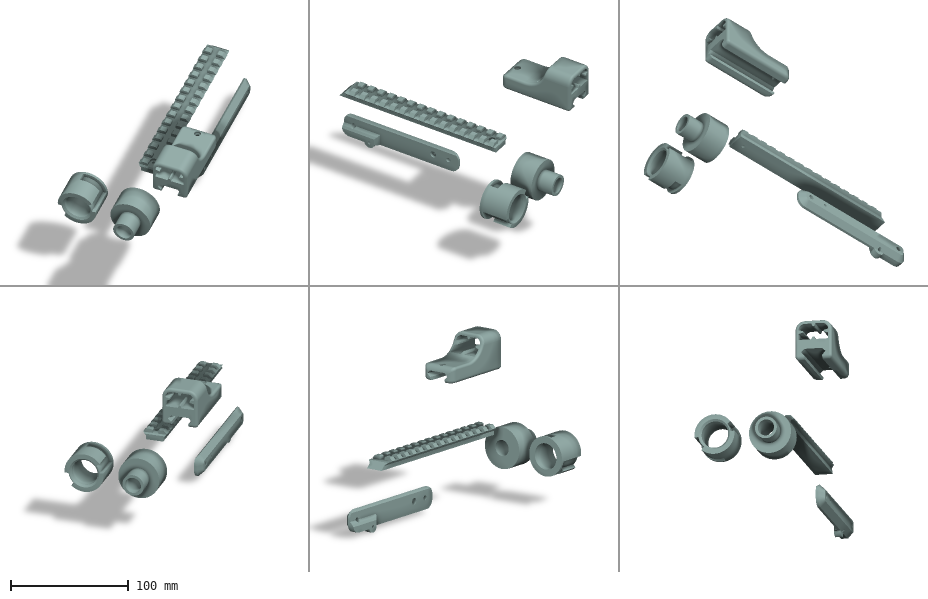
import cadquery as cq
import math

HOUSING_X = 44.6
HOUSING_FRONT_Y = -109.2
HOUSING_BOTTOM_Z = 34.2
HOUSING_WIDTH = 31.7
HOUSING_LENGTH = 70.0
HOUSING_HEIGHT = 34.0
ARCH_RADIUS = 8.2
DECK_HEIGHT = 14.0
DECK_LENGTH = 24.5
RAMP_RADIUS = HOUSING_HEIGHT - DECK_HEIGHT
RAMP_TOP_Y = HOUSING_LENGTH - DECK_LENGTH - RAMP_RADIUS
TAIL_RADIUS = 6.3
EDGE_FILLET = 2.3
BOTTOM_FILLET = 3.0

WINDOW_WIDTH = 25.8
WINDOW_HEIGHT = 13.8
WINDOW_FLOOR = 17.2
WINDOW_CORNER = 5.5
POST_BASE = 3.5
POST_TIP = 1.4
SHORT_POST = 2.3
LONG_POST = 3.9
MOUNT_ROOF = 9.0

RAIL_X = 4.3
RAIL_FRONT_Y = -55.7
RAIL_LENGTH = 157.6
RAIL_BOTTOM_Z = -8.0
RAIL_HALF_WIDTH = 10.6
NECK_HALF_WIDTH = 7.7
FLANK = RAIL_HALF_WIDTH - NECK_HALF_WIDTH
NECK_HEIGHT = 3.6
RAIL_HEIGHT = NECK_HEIGHT + 2 * FLANK
SLOT_FLOOR = NECK_HEIGHT + FLANK - 0.5
FRONT_BEVEL = 1.1

TOOTH_COUNT = 15
TOOTH_PITCH = 9.99
TOOTH_LENGTH = 5.0
FIRST_TOOTH_OFFSET = 3.9
GROOVE_HALF_WIDTH = 2.5
GROOVE_BEVEL = 1.0

SCREW_HOLE = 2.7
SCREW_HEAD = 6.0
SCREW_HEAD_DEPTH = 2.3
SCREW_DEPTH = 18.1
RAIL_SCREW_OFFSET = 8.8
HOUSING_SCREW_OFFSET = 7.5

ARM_FACE_X = 21.5
ARM_RIM_X = 23.8
ARM_BACK_X = 28.5
ARM_FRONT_Y = -2.0
ARM_LENGTH = 115.3
ARM_TOP_Z = -44.6
ARM_HEIGHT = 19.7
ARM_CORNER = 7.7
ARM_BACK_BEVEL = ARM_BACK_X - ARM_RIM_X
ARM_TOP_BEVEL = ARM_RIM_X - ARM_FACE_X

PAD_HEIGHT = 10.2
PAD_LENGTH = 36.5
PAD_STEP = 2.0
PAD_LOWER_DEPTH = 2.3
PAD_UPPER_DEPTH = 1.4
PAD_FACE_X = ARM_FACE_X - PAD_LOWER_DEPTH - PAD_UPPER_DEPTH

ARM_HOLE = 4.3
ARM_HOLE_Z = -54.1
ARM_HOLES_Y = (103.3, 8.2)
ARM_SCREW_Y = 23.3
LUG_Y = 85.5
LUG_Z = -63.5
LUG_RADIUS = 5.0
LUG_HOLE = 3.0

AXIS_Z = -25.0

RING_X = -43.0
RING_BACK_Y = -75.9
RING_LENGTH = 27.0
RING_DIAMETER = 34.9
RING_BORE = 23.0
RING_MOUTH = 26.5
TRACK_FLOOR = 28.0
TRACK_RIM = 2.3
TRACK_WIDTH = 7.7
TRACK_START = 7.0
TRACK_END = 104.0
KEYWAY_ENDS = (37.0, 49.0)

CAP_X = 4.3
CAP_BACK_Y = -77.0
CAP_DIAMETER = 36.7
CAP_LENGTH = 21.0
STEM_DIAMETER = 19.0
STEM_LENGTH = 15.2
CAP_BORE = 14.0


def dovetail(neck_height, length):
    """Rail section along +Y, centred on X, resting on Z = 0."""
    widest = neck_height + FLANK
    top = widest + FLANK
    return (
        cq.Workplane("XZ")
        .moveTo(-NECK_HALF_WIDTH, 0)
        .lineTo(NECK_HALF_WIDTH, 0)
        .lineTo(NECK_HALF_WIDTH, neck_height)
        .lineTo(RAIL_HALF_WIDTH, widest)
        .lineTo(NECK_HALF_WIDTH, top)
        .lineTo(-NECK_HALF_WIDTH, top)
        .lineTo(-RAIL_HALF_WIDTH, widest)
        .lineTo(-NECK_HALF_WIDTH, neck_height)
        .close()
        .extrude(-length)
    )


def housing_shell():
    """Arched block, cut down to a low deck with a concave ramp; front face at Y = 0."""
    block = (
        cq.Workplane("XY")
        .box(HOUSING_WIDTH, HOUSING_LENGTH, HOUSING_HEIGHT, centered=(True, False, False))
        .edges("|Y and >Z")
        .fillet(ARCH_RADIUS)
        .edges("|Z and >Y")
        .fillet(TAIL_RADIUS)
    )
    ramp_start = HOUSING_LENGTH - DECK_LENGTH
    lean = RAMP_RADIUS * math.sqrt(0.5)
    beyond = 2 * HOUSING_LENGTH
    above_deck = (
        cq.Workplane("YZ", origin=(-HOUSING_WIDTH, 0, 0))
        .moveTo(RAMP_TOP_Y, HOUSING_HEIGHT)
        .threePointArc((ramp_start - lean, HOUSING_HEIGHT - lean), (ramp_start, DECK_HEIGHT))
        .lineTo(HOUSING_LENGTH - TAIL_RADIUS, DECK_HEIGHT)
        .radiusArc((HOUSING_LENGTH, DECK_HEIGHT - TAIL_RADIUS), TAIL_RADIUS)
        .lineTo(beyond, DECK_HEIGHT - TAIL_RADIUS)
        .lineTo(beyond, HOUSING_HEIGHT)
        .close()
        .extrude(2 * HOUSING_WIDTH)
    )
    return block.cut(above_deck)


def fillet_where(body, radius, chosen):
    """Fillet the edges whose centre point passes the test."""
    edges = [edge for edge in body.edges().vals() if chosen(edge.Center())]
    return body.newObject(edges).fillet(radius)


def round_housing(shell):
    """Fillet the deck, ramp and crest edges, then the front rim and the bottom rim."""
    side = HOUSING_WIDTH / 2 - EDGE_FILLET

    def on_deck_or_ramp(point):
        along_side = abs(point.x) > side and point.y > RAMP_TOP_Y and point.z > DECK_HEIGHT - 0.2
        on_crest = abs(point.y - RAMP_TOP_Y) < EDGE_FILLET and point.z > HOUSING_HEIGHT - EDGE_FILLET
        return along_side or on_crest

    shell = fillet_where(shell, EDGE_FILLET, on_deck_or_ramp)
    shell = fillet_where(shell, EDGE_FILLET, lambda point: point.y < 0.02 < point.z)
    return fillet_where(shell, BOTTOM_FILLET, lambda point: point.z < 0.02)


def sight_window():
    """Opening along the whole housing, with a tapered aiming post on each of its four sides."""
    middle = WINDOW_FLOOR + WINDOW_HEIGHT / 2
    opening = (
        cq.Workplane("XY", origin=(0, 0, WINDOW_FLOOR))
        .box(WINDOW_WIDTH, HOUSING_LENGTH, WINDOW_HEIGHT, centered=(True, False, False))
        .edges("|Y and >Z")
        .fillet(WINDOW_CORNER)
    )
    posts = (
        (0, WINDOW_HEIGHT / 2, SHORT_POST),
        (90, WINDOW_WIDTH / 2, LONG_POST),
        (180, WINDOW_HEIGHT / 2, SHORT_POST),
        (270, WINDOW_WIDTH / 2, LONG_POST),
    )
    for turn, reach, height in posts:
        post = (
            cq.Workplane("XZ")
            .moveTo(-POST_BASE / 2, -reach)
            .lineTo(POST_BASE / 2, -reach)
            .lineTo(POST_TIP / 2, height - reach)
            .lineTo(-POST_TIP / 2, height - reach)
            .close()
            .extrude(-HOUSING_LENGTH)
            .rotate((0, 0, 0), (0, 1, 0), turn)
            .translate((0, 0, middle))
        )
        opening = opening.cut(post)
    return opening


def screw_hole():
    """Cutter for a screw hole along Z with a flat-bottomed head seat, opening at Z = 0."""
    shank = cq.Workplane("XY").circle(SCREW_HOLE / 2).extrude(-SCREW_DEPTH)
    return shank.union(cq.Workplane("XY").circle(SCREW_HEAD / 2).extrude(-SCREW_HEAD_DEPTH))


def make_housing():
    body = round_housing(housing_shell())
    body = body.cut(sight_window())
    mount = dovetail(NECK_HEIGHT, HOUSING_LENGTH).translate((0, 0, MOUNT_ROOF - RAIL_HEIGHT))
    below = cq.Workplane("XY").box(
        2 * NECK_HALF_WIDTH, HOUSING_LENGTH, MOUNT_ROOF - FLANK, centered=(True, False, False)
    )
    body = body.cut(mount).cut(below)
    body = body.cut(screw_hole().translate((0, HOUSING_LENGTH - HOUSING_SCREW_OFFSET, DECK_HEIGHT)))
    return body.translate((HOUSING_X, HOUSING_FRONT_Y, HOUSING_BOTTOM_Z))


def tooth_row():
    """Pairs of teeth at an even pitch, standing above the slot floor."""
    half_groove = cq.Workplane("XZ")
    section = (
        half_groove.moveTo(GROOVE_HALF_WIDTH, SLOT_FLOOR)
        .lineTo(GROOVE_HALF_WIDTH, RAIL_HEIGHT - GROOVE_BEVEL)
        .lineTo(GROOVE_HALF_WIDTH + GROOVE_BEVEL, RAIL_HEIGHT)
        .lineTo(RAIL_HALF_WIDTH, RAIL_HEIGHT)
        .lineTo(RAIL_HALF_WIDTH, SLOT_FLOOR)
        .close()
        .extrude(-TOOTH_LENGTH)
    )
    pair = section.union(section.mirror("YZ"))
    row = cq.Workplane("XY")
    for index in range(TOOTH_COUNT):
        row = row.add(pair.translate((0, FIRST_TOOTH_OFFSET - TOOTH_LENGTH / 2 + index * TOOTH_PITCH, 0)))
    return row.combine()


def make_rail():
    full = dovetail(NECK_HEIGHT, RAIL_LENGTH)
    bed = cq.Workplane("XY").box(
        2 * RAIL_HALF_WIDTH, RAIL_LENGTH, SLOT_FLOOR, centered=(True, False, False)
    )
    body = full.intersect(bed.union(tooth_row()))
    body = body.cut(
        cq.Workplane("YZ", origin=(-RAIL_HALF_WIDTH, 0, 0))
        .moveTo(0, SLOT_FLOOR)
        .lineTo(FRONT_BEVEL, SLOT_FLOOR)
        .lineTo(0, SLOT_FLOOR - FRONT_BEVEL)
        .close()
        .extrude(2 * RAIL_HALF_WIDTH)
    )
    body = body.cut(
        cq.Workplane("YZ", origin=(-RAIL_HALF_WIDTH, 0, 0))
        .moveTo(RAIL_LENGTH, 0)
        .lineTo(RAIL_LENGTH, RAIL_HEIGHT)
        .lineTo(RAIL_LENGTH - RAIL_HEIGHT, RAIL_HEIGHT)
        .close()
        .extrude(2 * RAIL_HALF_WIDTH)
    )
    body = body.cut(screw_hole().translate((0, RAIL_SCREW_OFFSET, SLOT_FLOOR)))
    return body.translate((RAIL_X, RAIL_FRONT_Y, RAIL_BOTTOM_Z))


def side_plane(x):
    """Sketch plane at the given X: sketch +X is world +Y, sketch +Y is world Z, extruding along +X."""
    return cq.Workplane("YZ", origin=(x, 0, 0))


def arm_outline(x, depth):
    back_y = ARM_FRONT_Y + ARM_LENGTH
    return (
        side_plane(x)
        .center(back_y - ARM_LENGTH / 2, ARM_TOP_Z - ARM_HEIGHT / 2)
        .rect(ARM_LENGTH, ARM_HEIGHT)
        .extrude(depth)
        .edges("|X")
        .fillet(ARM_CORNER)
    )


def arm_plate():
    """Round-cornered plate, bevelled all round its +X face and along the top of its -X face."""
    plate = arm_outline(ARM_FACE_X, ARM_BACK_X - ARM_FACE_X).faces(">X").chamfer(ARM_BACK_BEVEL)
    top_bevel = (
        cq.Workplane("XZ", origin=(0, ARM_FRONT_Y, 0))
        .moveTo(ARM_FACE_X, ARM_TOP_Z)
        .lineTo(ARM_RIM_X, ARM_TOP_Z)
        .lineTo(ARM_FACE_X, ARM_TOP_Z - ARM_TOP_BEVEL)
        .close()
        .extrude(-ARM_LENGTH)
    )
    return plate.cut(top_bevel)


def pad_layer(base_x, depth, inset):
    """One tapered layer of the pad; its free top and -Y sides lean inward by one step."""
    far = 2 * ARM_LENGTH
    low_z = ARM_TOP_Z - ARM_HEIGHT - far
    back_y = ARM_FRONT_Y + ARM_LENGTH + far

    def corners(shrink):
        front_y = ARM_FRONT_Y + ARM_LENGTH - PAD_LENGTH + shrink
        top_z = ARM_TOP_Z - ARM_HEIGHT + PAD_HEIGHT - shrink
        return [(front_y, low_z), (back_y, low_z), (back_y, top_z), (front_y, top_z)]

    return (
        side_plane(base_x)
        .polyline(corners(inset))
        .close()
        .workplane(offset=-depth)
        .polyline(corners(inset + PAD_STEP))
        .close()
        .loft(ruled=True)
    )


def arm_pad():
    """Two-layer raised pad in the lower +Y corner, trimmed to the outline of the arm."""
    middle_x = ARM_FACE_X - PAD_LOWER_DEPTH
    layers = pad_layer(ARM_FACE_X, PAD_LOWER_DEPTH, 0).union(pad_layer(middle_x, PAD_UPPER_DEPTH, PAD_STEP))
    return layers.intersect(arm_outline(PAD_FACE_X, ARM_FACE_X - PAD_FACE_X))


def make_arm():
    lug = side_plane(PAD_FACE_X).center(LUG_Y, LUG_Z).circle(LUG_RADIUS).extrude(ARM_RIM_X - PAD_FACE_X)
    body = arm_plate().union(arm_pad()).union(lug)
    depth = ARM_BACK_X - PAD_FACE_X
    for y in ARM_HOLES_Y:
        body = body.cut(side_plane(PAD_FACE_X).center(y, ARM_HOLE_Z).circle(ARM_HOLE / 2).extrude(depth))
    body = body.cut(side_plane(PAD_FACE_X).center(LUG_Y, LUG_Z).circle(LUG_HOLE / 2).extrude(depth))
    screw = screw_hole().rotate((0, 0, 0), (0, 1, 0), -90)
    return body.cut(screw.translate((ARM_FACE_X, ARM_SCREW_Y, ARM_HOLE_Z)))


def axial_plane(y):
    """Sketch plane at the given Y: sketch axes are world X and Z, extruding along -Y."""
    return cq.Workplane("XZ", origin=(0, y, 0))


def track_sector(start_y, length, start_angle, end_angle):
    """Cutter for the part of the bayonet track between two angles about the ring axis."""

    def at(radius, angle):
        return radius * math.cos(math.radians(angle)), radius * math.sin(math.radians(angle))

    inner = TRACK_FLOOR / 2
    outer = RING_DIAMETER / 2 + 2.3
    middle = (start_angle + end_angle) / 2
    return (
        axial_plane(start_y)
        .moveTo(*at(inner, start_angle))
        .lineTo(*at(outer, start_angle))
        .threePointArc(at(outer, middle), at(outer, end_angle))
        .lineTo(*at(inner, end_angle))
        .threePointArc(at(inner, middle), at(inner, start_angle))
        .close()
        .extrude(length)
    )


def bayonet_track(keyway_end):
    """L-shaped track: a keyway open at the front and a locking run behind the rim."""
    keyway = track_sector(-TRACK_RIM, RING_LENGTH - TRACK_RIM, TRACK_START, keyway_end)
    locking_run = track_sector(-TRACK_RIM, TRACK_WIDTH, TRACK_START, TRACK_END)
    return keyway.union(locking_run)


def make_ring():
    body = axial_plane(0).circle(RING_DIAMETER / 2).circle(RING_BORE / 2).extrude(RING_LENGTH)
    body = body.faces("<Y").edges("%CIRCLE").edges(cq.selectors.RadiusNthSelector(0)).chamfer(
        (RING_MOUTH - RING_BORE) / 2
    )
    for turn, keyway_end in zip((0, 180), KEYWAY_ENDS):
        body = body.cut(bayonet_track(keyway_end).rotate((0, 0, 0), (0, 1, 0), turn))
    return body.translate((RING_X, RING_BACK_Y, AXIS_Z))


def make_cap():
    body = (
        axial_plane(0)
        .circle(CAP_DIAMETER / 2)
        .extrude(CAP_LENGTH)
        .faces("<Y")
        .workplane()
        .circle(STEM_DIAMETER / 2)
        .extrude(STEM_LENGTH)
        .faces("<Y")
        .workplane()
        .hole(CAP_BORE)
    )
    return body.translate((CAP_X, CAP_BACK_Y, AXIS_Z))


housing = make_housing()
rail = make_rail()
arm = make_arm()
ring = make_ring()
cap = make_cap()

result = cq.Compound.makeCompound([housing.val(), rail.val(), arm.val(), ring.val(), cap.val()])